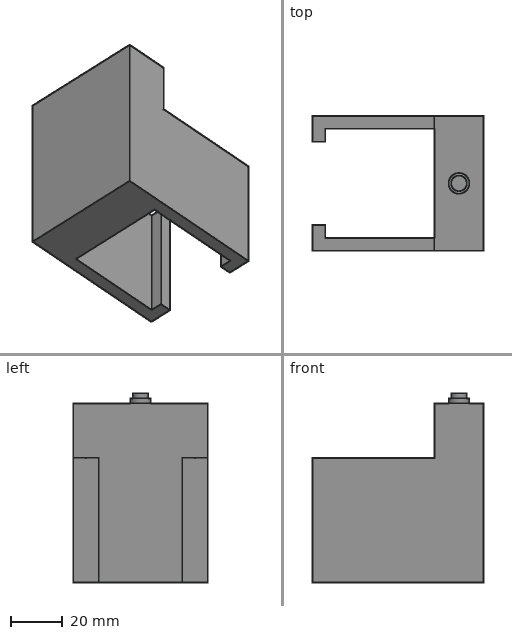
import cadquery as cq

length = 66.0
width = 52.0
block_thickness = 19.0
block_height = 69.0

arm_height = 48.0
wall = 5.0
lip_width = 10.0

collar_diameter = 8.0
tip_diameter = 6.0
step_height = 2.0

arm_length = length - block_thickness
block_center_x = arm_length + block_thickness / 2


def corner_box(size_x, size_y, size_z):
    """Box with its minimum corner at the origin."""
    return cq.Workplane("XY").box(size_x, size_y, size_z, centered=False)


def make_block():
    """Tall upright block at the +X end."""
    return corner_box(block_thickness, width, block_height).translate((arm_length, -width / 2, 0))


def make_arm():
    """L-shaped arm on the -Y side, running from the block to its lip."""
    side_wall = corner_box(arm_length, wall, arm_height)
    lip = corner_box(wall, lip_width, arm_height)
    return side_wall.union(lip).translate((0, -width / 2, 0))


def make_button():
    """Collar with a smaller tip, centred on top of the block."""
    return (
        cq.Workplane("XY", origin=(block_center_x, 0, block_height))
        .circle(collar_diameter / 2)
        .extrude(step_height)
        .faces(">Z")
        .workplane()
        .circle(tip_diameter / 2)
        .extrude(step_height)
    )


arm = make_arm()
result = make_block().union(arm).union(arm.mirror("XZ")).union(make_button())